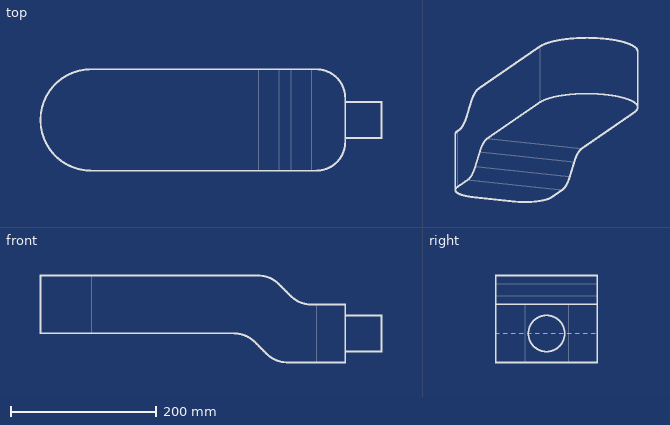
import cadquery as cq
import math

body_length = 420.0
body_width = 140.0
thickness = 80.0
step_height = 40.0

slope_angle = 45.0
bend_radius = 40.0
top_bend_start = 300.0

round_end_radius = body_width / 2
corner_radius = 40.0

peg_diameter = 50.0
peg_length = 50.0

half_angle_tangent = math.tan(math.radians(slope_angle / 2))
step_run = step_height / math.tan(math.radians(slope_angle))
top_corner_x = top_bend_start + bend_radius * half_angle_tangent
under_corner_x = top_corner_x - thickness * half_angle_tangent
total_height = thickness + step_height


def make_side_profile():
    """Stepped plate seen from the side, full width, with its bends rounded."""
    outline = [
        (0, step_height),
        (under_corner_x, step_height),
        (under_corner_x + step_run, 0),
        (body_length, 0),
        (body_length, thickness),
        (top_corner_x + step_run, thickness),
        (top_corner_x, total_height),
        (0, total_height),
    ]
    plate = (
        cq.Workplane("XZ")
        .polyline(outline)
        .close()
        .extrude(body_width / 2, both=True)
    )
    return plate.edges("|Y").edges("not (<X or >X)").fillet(bend_radius)


def make_plan_block():
    """Plan shape: half-round at one end, rounded corners at the peg end."""
    half_width = body_width / 2
    corner_start_x = body_length - corner_radius
    corner_start_y = half_width - corner_radius
    return (
        cq.Workplane("XY")
        .moveTo(round_end_radius, -half_width)
        .lineTo(corner_start_x, -half_width)
        .radiusArc((body_length, -corner_start_y), -corner_radius)
        .lineTo(body_length, corner_start_y)
        .radiusArc((corner_start_x, half_width), -corner_radius)
        .lineTo(round_end_radius, half_width)
        .threePointArc((0, 0), (round_end_radius, -half_width))
        .close()
        .extrude(total_height)
    )


def make_peg():
    """Round peg on the end face, centred on the lowered plate."""
    return (
        cq.Workplane("YZ", origin=(body_length, 0, thickness / 2))
        .circle(peg_diameter / 2)
        .extrude(peg_length)
    )


body = make_side_profile().intersect(make_plan_block())
result = body.union(make_peg())